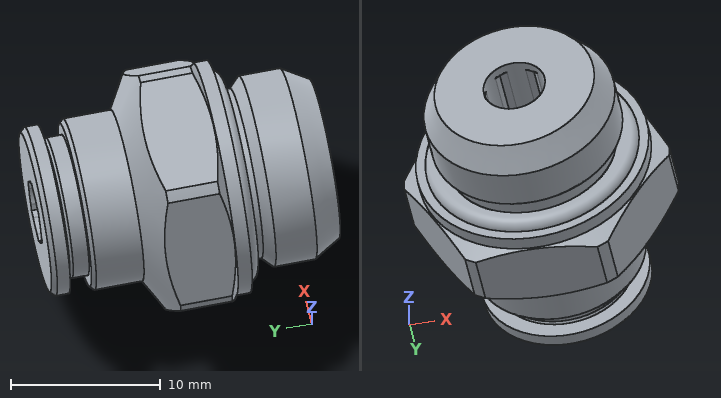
import cadquery as cq
import math

LENGTH = 19.7
NOSE_END = 1.81
THREAD_END = 4.6
RELIEF_START = 5.34
FLANGE_START = 6.52
HEX_START = 7.49
HEX_END = 13.47
BODY_END = 17.0
NECK_END = 18.08
GROOVE_BOTTOM = 18.28
CAP_START = 18.48

NOSE_RADIUS = 5.44
THREAD_RADIUS = 6.5
RELIEF_RADIUS = 5.77
FLANGE_RADIUS = 7.92
BODY_RADIUS = 5.83
NECK_RADIUS = 4.79
CAP_GROOVE_RADIUS = 4.59
CAP_ROOT_RADIUS = 4.69
CAP_RADIUS = 5.75
BODY_CHAMFER = 0.28
CAP_CHAMFER = 0.33

RING_OUTER_RADIUS = 7.27
RING_SECTION_RADIUS = 0.77
RING_STATION = 6.6

HEX_FLATS = 16.0
HEX_CORNER_RADIUS = 9.0
HEX_CHAMFER_ANGLE = math.radians(30)

BORE_DIAMETER = 4.2
SOCKET_FLATS = 4.0
SOCKET_START = 0.7


def revolve_profile(points):
    """Revolve a closed (radius, station) outline about the Y axis."""
    return cq.Workplane("XY").polyline(points).close().revolve(360, (0, 0, 0), (0, 1, 0))


def hex_prism(across_flats, start, end):
    """Hexagonal prism along Y with two corners on the X axis."""
    across_corners = across_flats / math.cos(math.pi / 6)
    plane = cq.Workplane("XZ", origin=(0, start, 0))
    return plane.polygon(6, across_corners).extrude(start - end)


def turned_body():
    return revolve_profile([
        (0, 0),
        (NOSE_RADIUS, 0),
        (THREAD_RADIUS, NOSE_END),
        (THREAD_RADIUS, THREAD_END),
        (RELIEF_RADIUS, RELIEF_START),
        (RELIEF_RADIUS, FLANGE_START),
        (FLANGE_RADIUS, FLANGE_START),
        (FLANGE_RADIUS, HEX_START),
        (BODY_RADIUS, HEX_START),
        (BODY_RADIUS, BODY_END - BODY_CHAMFER),
        (BODY_RADIUS - BODY_CHAMFER, BODY_END),
        (NECK_RADIUS, BODY_END),
        (NECK_RADIUS, NECK_END),
        (CAP_GROOVE_RADIUS, GROOVE_BOTTOM),
        (CAP_ROOT_RADIUS, CAP_START),
        (CAP_RADIUS, CAP_START),
        (CAP_RADIUS, LENGTH - CAP_CHAMFER),
        (CAP_RADIUS - CAP_CHAMFER, LENGTH),
        (0, LENGTH),
    ])


def wrench_hex():
    slope = math.tan(HEX_CHAMFER_ANGLE)
    front_chamfer = (HEX_CORNER_RADIUS - FLANGE_RADIUS) * slope
    rear_chamfer = (HEX_CORNER_RADIUS - BODY_RADIUS) * slope
    envelope = revolve_profile([
        (0, HEX_START),
        (FLANGE_RADIUS, HEX_START),
        (HEX_CORNER_RADIUS, HEX_START + front_chamfer),
        (HEX_CORNER_RADIUS, HEX_END - rear_chamfer),
        (BODY_RADIUS, HEX_END),
        (0, HEX_END),
    ])
    return hex_prism(HEX_FLATS, HEX_START, HEX_END).intersect(envelope)


def sealing_ring():
    center_radius = RING_OUTER_RADIUS - RING_SECTION_RADIUS
    section = cq.Workplane("XY").center(center_radius, RING_STATION).circle(RING_SECTION_RADIUS)
    return section.revolve(360, (-center_radius, 0, 0), (-center_radius, 1, 0))


def bore():
    return cq.Workplane("XZ").circle(BORE_DIAMETER / 2).extrude(-LENGTH)


fitting = turned_body().union(wrench_hex()).union(sealing_ring())
key_socket = hex_prism(SOCKET_FLATS, SOCKET_START, LENGTH)
result = fitting.cut(bore()).cut(key_socket)